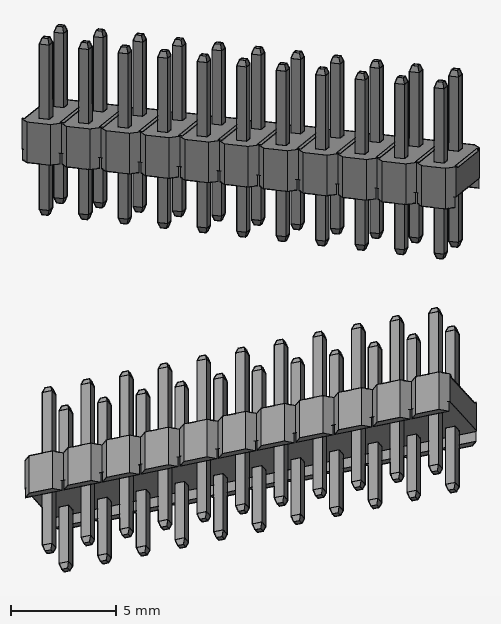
import cadquery as cq


body_length = 22.0
cell_count = 11
row_count = 2
pitch = body_length / cell_count
body_width = row_count * pitch

body_height = 2.02
corner_cut = pitch / 5
channel_height = 0.53
channel_overcut = 0.05
channel_width = body_width - 2 * corner_cut + 2 * channel_overcut

groove_depth = 0.1
groove_end_margin = 0.1
groove_length = body_width - 2 * (corner_cut + groove_end_margin)

pin_length = 8.8
pin_below_body = 2.8
pin_width = pitch / 4
tip_height = 0.29
tip_inset = 0.1
tip_width = pin_width - 2 * tip_inset


def centred_positions(count):
    """Positions spaced by the pitch and centred on zero."""
    return [(i - (count - 1) / 2) * pitch for i in range(count)]


cell_centres = centred_positions(cell_count)
row_centres = centred_positions(row_count)
cell_boundaries = centred_positions(cell_count + 1)


def body_outline():
    """Outline of the row of cells, with a V-notch wherever two cells meet."""
    edge_y = body_width / 2
    notch_y = edge_y - corner_cut
    flat_half = pitch / 2 - corner_cut
    front_edge = [(-body_length / 2, -notch_y)]
    for x in cell_centres:
        front_edge += [(x - flat_half, -edge_y), (x + flat_half, -edge_y), (x + pitch / 2, -notch_y)]
    back_edge = [(x, -y) for x, y in reversed(front_edge)]
    return front_edge + back_edge


def make_groove(x):
    """Cutter for one V-groove in the top face, with its ends sloping up at 45 degrees."""
    half_length = groove_length / 2
    bottom_half_length = half_length - groove_depth
    v_prism = (
        cq.Workplane("XZ", origin=(x, half_length, body_height))
        .polyline([(-groove_depth, 0), (0, -groove_depth), (groove_depth, 0)])
        .close()
        .extrude(groove_length)
    )
    sloped_ends = (
        cq.Workplane("YZ", origin=(x, 0, body_height))
        .polyline([
            (-half_length, 0),
            (-bottom_half_length, -groove_depth),
            (bottom_half_length, -groove_depth),
            (half_length, 0),
        ])
        .close()
        .extrude(groove_depth, both=True)
    )
    return v_prism.intersect(sloped_ends)


def make_body():
    """Cells with a lengthwise channel underneath and grooves on top."""
    body = cq.Workplane("XY").polyline(body_outline()).close().extrude(body_height)
    channel = cq.Workplane("XY").box(
        body_length, channel_width, channel_height, centered=(True, True, False)
    )
    body = body.cut(channel)
    for x in cell_boundaries:
        body = body.cut(make_groove(x))
    return body


def make_pin():
    """Square pin with a tapered tip at each end."""
    shaft_length = pin_length - 2 * tip_height
    shaft = cq.Workplane("XY").box(pin_width, pin_width, shaft_length)
    upper_tip = (
        cq.Workplane("XY", origin=(0, 0, shaft_length / 2))
        .rect(pin_width, pin_width)
        .workplane(offset=tip_height)
        .rect(tip_width, tip_width)
        .loft()
    )
    lower_tip = upper_tip.mirror("XY")
    return shaft.union(upper_tip).union(lower_tip)


pin = make_pin()
pin_centre_z = pin_length / 2 - pin_below_body

result = make_body()
for pin_x in cell_centres:
    for pin_y in row_centres:
        result = result.union(pin.translate((pin_x, pin_y, pin_centre_z)))